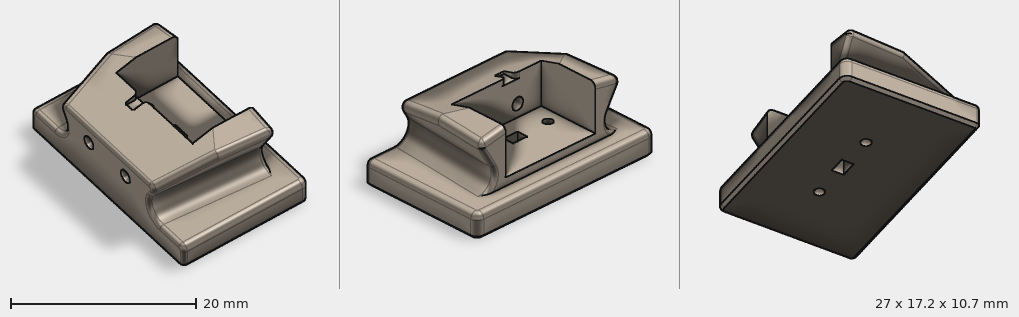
import cadquery as cq
import math

length = 27.03
width = 17.22
height = 10.7
base_height = 3.25
front_y = -width / 2
back_y = width / 2

saddle_back_y = 6.22
roof_angle = 10.0
slope_angle = 15.0

neck_half_width = 7.27
neck_radius = 2.0
wall_angle = 30.0
taper_angle = 4.9

pocket_width = 13.57
pocket_front_y = -2.15
pocket_front_top_z = 9.97
pocket_floor_z = 4.32

notch_width = 1.43
notch_x = -2.2
notch_front_y = -3.95
notch_floor_z = 9.14
notch_corner_radius = 0.22
notch_mouth_radius = 0.6

window_length = 2.14
window_width = 1.5
floor_hole_diameter = 1.25
floor_hole_spacing = 9.9
floor_opening_y = 0.75
front_hole_diameter = 1.62
front_hole_spacing = 6.5
front_hole_z = 6.03

edge_radius = 0.8
front_radius = 0.55
saddle_side_radius = 0.55
back_corner_radius = 1.0
bottom_chamfer = 0.4

overlap = 2.7

tolerance = 0.03


def block(x_range, y_range, z_range):
    """Box between the given limits on each axis."""
    size = [high - low for low, high in (x_range, y_range, z_range)]
    corner = (x_range[0], y_range[0], z_range[0])
    return cq.Workplane("XY").box(*size, centered=False).translate(corner)


def slope_z(y):
    """Height of the front slope at a given Y."""
    return pocket_front_top_z + (y - pocket_front_y) * math.tan(math.radians(slope_angle))


def saddle_block(half):
    """Saddle before undercutting: a gable roof cut by the front slope."""
    roof_fall = math.tan(math.radians(roof_angle))
    ridge_z = height + pocket_width / 2 * roof_fall
    eave_z = ridge_z - half * roof_fall
    gable = (
        cq.Workplane("XZ", origin=(0, saddle_back_y, 0))
        .polyline([(-half, 0), (half, 0), (half, eave_z), (0, ridge_z), (-half, eave_z)])
        .close()
        .extrude(saddle_back_y - front_y)
    )
    slope = (
        cq.Workplane("YZ", origin=(-half, 0, 0))
        .moveTo(front_y, 0)
        .lineTo(saddle_back_y, 0)
        .lineTo(saddle_back_y, slope_z(saddle_back_y))
        .lineTo(front_y, slope_z(front_y))
        .close()
        .extrude(2 * half)
    )
    return gable.intersect(slope)


def undercut():
    """Cutter for the +X side, swung about the front of the neck so the saddle widens to the back."""
    lean = math.radians(wall_angle)
    center_x = neck_half_width + neck_radius
    center_z = base_height + neck_radius
    wall_x = center_x - neck_radius * math.cos(lean)
    wall_z = center_z + neck_radius * math.sin(lean)
    top_z = height + overlap
    profile = (
        cq.Workplane("XZ", origin=(0, back_y + overlap, 0))
        .moveTo(length, base_height)
        .lineTo(center_x, base_height)
        .threePointArc((center_x - neck_radius, center_z), (wall_x, wall_z))
        .lineTo(wall_x + (top_z - wall_z) * math.tan(lean), top_z)
        .lineTo(length, top_z)
        .close()
        .extrude(width + 2 * overlap)
    )
    pivot = (neck_half_width, front_y)
    return profile.rotate((*pivot, 0), (*pivot, 1), -taper_angle)


def saddle():
    """Undercut saddle with its side crests and back outline rounded.

    It reaches down inside the base, so the back rounding fades out where the neck meets the base.
    """
    half = length / 2 - edge_radius - tolerance
    cutter = undercut()
    body = saddle_block(half).cut(cutter).cut(cutter.mirror("YZ")).clean()

    def on_back(edge):
        return edge.BoundingBox().ymin > saddle_back_y - tolerance

    def on_top(edge):
        box = edge.BoundingBox()
        on_crest = box.zmax < height and box.ylen > edge_radius
        return box.zmin > slope_z(front_y) - tolerance and (on_crest or on_back(edge))

    def on_back_outline(edge):
        box = edge.BoundingBox()
        inside = box.xmin < half - tolerance and box.xmax > tolerance - half
        return on_back(edge) and inside and box.zmin > base_height - tolerance

    body = body.newObject([e for e in body.edges().vals() if on_top(e)]).fillet(edge_radius)
    return body.newObject([e for e in body.edges().vals() if on_back_outline(e)]).fillet(saddle_side_radius)


def base():
    """Base plate with rounded back corners."""
    plate = block((-length / 2, length / 2), (front_y, back_y), (0, base_height))
    return plate.edges("|Z and >Y").fillet(back_corner_radius)


def round_base_top(body):
    """Round the side and back edges of the base top, with the corners between them."""

    def on_rim(edge):
        box = edge.BoundingBox()
        on_top = abs(box.zmin - base_height) < tolerance and box.zlen < tolerance
        on_side = max(abs(box.xmin), abs(box.xmax)) > length / 2 - tolerance and box.xlen < tolerance
        on_back = box.ymin > back_y - tolerance
        return on_top and (on_side or on_back)

    return body.newObject([e for e in body.edges().vals() if on_rim(e)]).fillet(edge_radius)


def round_front(body):
    """Round the whole front outline except its bottom edge."""
    outline = body.faces("<Y").edges().vals()
    return body.newObject([e for e in outline if e.BoundingBox().zmax > tolerance]).fillet(front_radius)


def pocket():
    return block(
        (-pocket_width / 2, pocket_width / 2),
        (pocket_front_y, saddle_back_y + overlap),
        (pocket_floor_z, height + overlap),
    )


def notch():
    """Notch cutter with rounded front corners and a flared mouth onto the pocket."""
    half = notch_width / 2
    flare = half + notch_mouth_radius
    straight_y = pocket_front_y - notch_mouth_radius
    turn = notch_mouth_radius * (1 - math.sqrt(0.5))
    return (
        cq.Workplane("XY", origin=(notch_x, 0, notch_floor_z))
        .moveTo(-flare, pocket_front_y)
        .threePointArc((-half - turn, pocket_front_y - turn), (-half, straight_y))
        .lineTo(-half, notch_front_y)
        .lineTo(half, notch_front_y)
        .lineTo(half, straight_y)
        .threePointArc((half + turn, pocket_front_y - turn), (flare, pocket_front_y))
        .close()
        .extrude(height - notch_floor_z)
        .edges("|Z and <Y")
        .fillet(notch_corner_radius)
    )


def floor_openings():
    """Two round holes and a rectangular window between them, straight down through the base."""
    plane = cq.Workplane("XY", origin=(0, floor_opening_y, 0))
    window = plane.rect(window_length, window_width).extrude(pocket_floor_z + overlap)
    holes = (
        plane.pushPoints([(-floor_hole_spacing / 2, 0), (floor_hole_spacing / 2, 0)])
        .circle(floor_hole_diameter / 2)
        .extrude(pocket_floor_z + overlap)
    )
    return window.union(holes)


def front_holes():
    """Two round holes from the front face into the pocket."""
    return (
        cq.Workplane("XZ", origin=(0, pocket_front_y + overlap, front_hole_z))
        .pushPoints([(-front_hole_spacing / 2, 0), (front_hole_spacing / 2, 0)])
        .circle(front_hole_diameter / 2)
        .extrude(width)
    )


body = base().union(saddle()).clean()
body = round_front(round_base_top(body))
body = body.faces("<Z").edges().chamfer(bottom_chamfer)
for cutter in (pocket(), notch(), floor_openings(), front_holes()):
    body = body.cut(cutter)
result = body.solids()